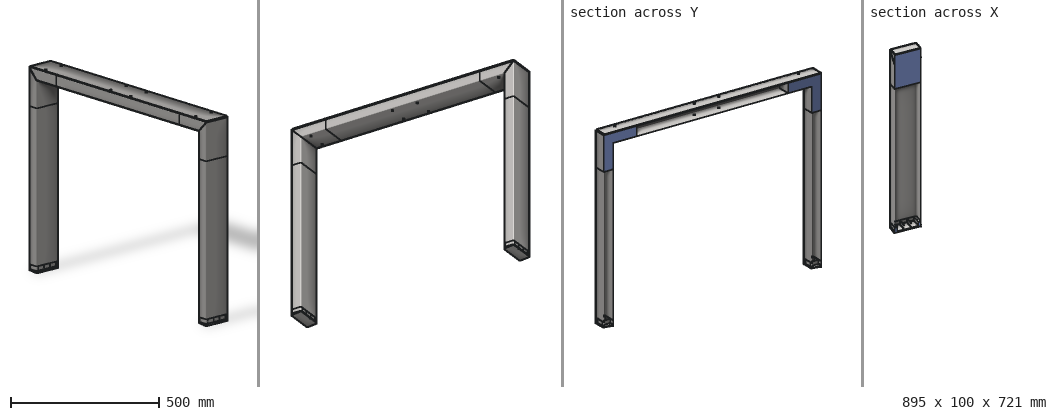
import cadquery as cq

frame_width = 895.0
frame_depth = 100.0
tube_thickness = 40.0
tube_wall = 2.0
tube_corner_radius = 3.0

plate_thickness = 4.0
plate_inset = 3.0
plate_corner_radius = 3.0

hole_diameter = 6.0
hole_inner_x = 50.0
hole_outer_x = 378.0
hole_y = 35.0

foot_thickness = 7.0
foot_drop = 3.8
plug_height = 16.0
plug_wall = 1.4
plug_corner_radius = 4.5
plug_cell_span = 80.0
plug_cells = 3
plug_rib = 1.4

connector_reach = 138.0

overall_height = 721.0
frame_height = overall_height - plate_thickness - foot_thickness
half_width = frame_width / 2
inner_half_width = half_width - tube_thickness
beam_bottom = frame_height - tube_thickness
leg_center_x = half_width - tube_thickness / 2
bore_thickness = tube_thickness - 2 * tube_wall
bore_depth = frame_depth - 2 * tube_wall

tube_section = (tube_thickness, frame_depth, tube_corner_radius)
bore_section = (bore_thickness, bore_depth, tube_corner_radius - tube_wall)


def make_prism(points):
    """Extrude an outline in the XZ plane over the whole depth of the frame."""
    return cq.Workplane("XZ").polyline(points).close().extrude(frame_depth / 2, both=True)


def make_holes():
    """Vertical cylinders at the eight screw places, long enough for plate and beam."""
    places = [
        (side * x, y)
        for side in (-1, 1)
        for x in (hole_inner_x, hole_outer_x)
        for y in (-hole_y, hole_y)
    ]
    return (
        cq.Workplane("XY", origin=(0, 0, beam_bottom))
        .pushPoints(places)
        .circle(hole_diameter / 2)
        .extrude(tube_thickness + plate_thickness)
    )


def beam_bar(thickness, depth, corner_radius):
    """Solid horizontal bar on the beam's axis, mitred at both ends with the long side on top."""
    bar = cq.Workplane("XY").box(frame_width, depth, thickness).edges("|X").fillet(corner_radius)
    mitred_outline = make_prism([
        (-half_width, frame_height),
        (half_width, frame_height),
        (inner_half_width, beam_bottom),
        (-inner_half_width, beam_bottom),
    ])
    return bar.translate((0, 0, frame_height - tube_thickness / 2)).intersect(mitred_outline)


def leg_bar(side, thickness, depth, corner_radius):
    """Solid upright bar on the axis of the left (-1) or right (1) leg, mitred at the top."""
    bar = cq.Workplane("XY").box(thickness, depth, frame_height).edges("|Z").fillet(corner_radius)
    mitred_outline = make_prism([
        (side * half_width, 0),
        (side * half_width, frame_height),
        (side * inner_half_width, beam_bottom),
        (side * inner_half_width, 0),
    ])
    return bar.translate((side * leg_center_x, 0, frame_height / 2)).intersect(mitred_outline)


def make_beam():
    """Horizontal tube with both ends mitred and the screw holes through both walls."""
    return beam_bar(*tube_section).cut(beam_bar(*bore_section)).cut(make_holes())


def make_leg(side):
    """Upright tube with a mitred top and an open bottom."""
    return leg_bar(side, *tube_section).cut(leg_bar(side, *bore_section))


def make_connector(side):
    """L-shaped block that fills the bores of the beam and one leg around their mitre."""
    corner_zone = cq.Workplane("XY").box(2 * connector_reach, frame_depth, 2 * connector_reach)
    corner_zone = corner_zone.translate((side * half_width, 0, frame_height))
    filled_bores = beam_bar(*bore_section).union(leg_bar(side, *bore_section))
    return filled_bores.intersect(corner_zone).cut(make_holes())


def make_top_plate():
    """Flat plate on the beam, set in from the frame all round."""
    plate = (
        cq.Workplane("XY", origin=(0, 0, frame_height))
        .rect(frame_width - 2 * plate_inset, frame_depth - 2 * plate_inset)
        .extrude(plate_thickness)
        .edges("|Z")
        .fillet(plate_corner_radius)
    )
    return plate.cut(make_holes())


def make_foot(side):
    """Pad under one leg, thicker towards +X, with a three-celled plug in the bore above it."""
    left_x = side * leg_center_x - tube_thickness / 2
    right_x = left_x + tube_thickness
    pad = make_prism([
        (left_x, 0),
        (right_x, 0),
        (right_x, -foot_thickness),
        (left_x, foot_drop - foot_thickness),
    ])
    pad = pad.edges("|Z").fillet(tube_corner_radius)
    plug = (
        cq.Workplane("XY", origin=(side * leg_center_x, 0, 0))
        .rect(bore_thickness, bore_depth)
        .extrude(plug_height)
        .edges("|Z")
        .fillet(plug_corner_radius)
    )
    cell_pitch = plug_cell_span / plug_cells
    cells = (
        cq.Workplane("XY", origin=(side * leg_center_x, 0, 0))
        .rarray(9, cell_pitch, 1, plug_cells)
        .rect(bore_thickness - 2 * plug_wall, cell_pitch - plug_rib)
        .extrude(plug_height)
    )
    return pad.union(plug.cut(cells))


beam = make_beam()
top_plate = make_top_plate()
sides = (-1, 1)
legs = [make_leg(side) for side in sides]
connectors = [make_connector(side) for side in sides]
feet = [make_foot(side) for side in sides]

result = cq.Compound.makeCompound(
    [body.val() for body in (beam, top_plate, *legs, *connectors, *feet)]
)